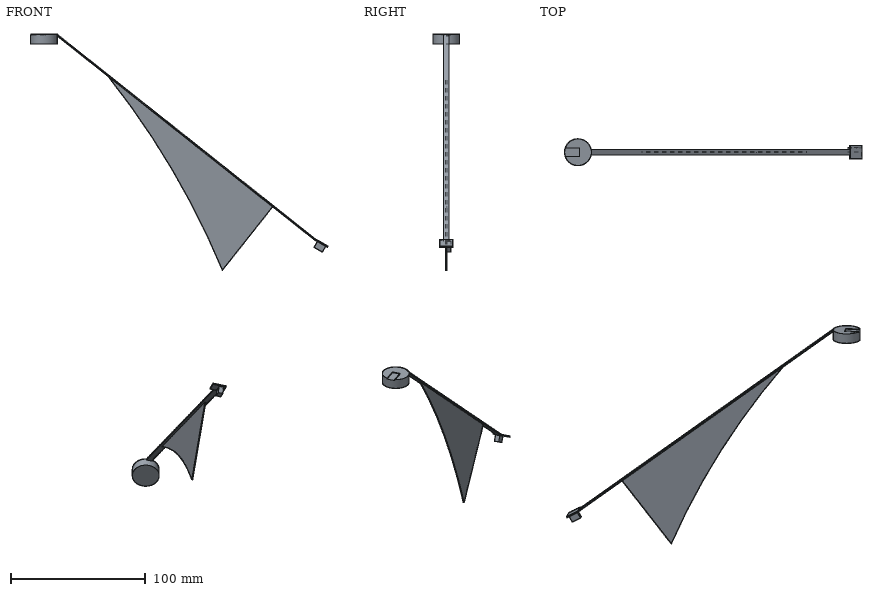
import cadquery as cq
import math

BASE_DIAMETER = 20.0
BASE_HEIGHT = 7.5
NOTCH_WIDTH = 6.0
NOTCH_LENGTH = 11.0
NOTCH_DEPTH = 0.6

ARM_SLOPE = 38.4
ARM_START_DEPTH = 0.3
ARM_LENGTH = 245.3
ARM_WIDTH = 4.2
ARM_THICKNESS = 1.0

SAIL_START = 46.5
SAIL_LENGTH = 158.0
SAIL_DROP = 61.05
SAIL_THICKNESS = 0.8
SAIL_SAGITTA = 5.7

PLATE_SLOPE = 30.0
PLATE_SIZE = 10.0
PLATE_THICKNESS = 1.0
PLATE_OVERLAP = 0.25
PLATE_RISE = 0.3
BLOCK_LENGTH = 7.2
BLOCK_WIDTH = 3.5
BLOCK_HEIGHT = 5.0
BLOCK_INSET = 1.2

BASE_RADIUS = BASE_DIAMETER / 2


def sloping_plane(origin_x, origin_z, slope):
    """Plane with local x running down the slope, local y along +Y and its normal pointing up."""
    angle = math.radians(slope)
    return cq.Plane(
        origin=(origin_x, 0, origin_z),
        xDir=(math.cos(angle), 0, -math.sin(angle)),
        normal=(math.sin(angle), 0, math.cos(angle)),
    )


def hanging_box(plane, start, length, y_min, width, top, height):
    """Box aligned to a sloping plane; its upper face is at local z = top and it reaches down by height."""
    return (
        cq.Workplane(plane)
        .box(length, width, height, centered=False)
        .translate(plane.toWorldCoords((start, y_min, top - height)) - plane.origin)
    )


def make_base():
    """Disc with a shallow open notch in its top face, on the side away from the arm."""
    disc = cq.Workplane("XY").circle(BASE_RADIUS).extrude(-BASE_HEIGHT)
    notch = (
        cq.Workplane("XY")
        .rect(2 * NOTCH_LENGTH, NOTCH_WIDTH)
        .extrude(-NOTCH_DEPTH)
        .translate((-BASE_RADIUS, 0, 0))
    )
    return disc.cut(notch)


def make_arm(plane):
    """Flat strip with its upper face on the sloping plane, starting just below the base rim."""
    return hanging_box(plane, 0, ARM_LENGTH, -ARM_WIDTH / 2, ARM_WIDTH, 0, ARM_THICKNESS)


def make_sail(plane):
    """Triangular sheet, square to the arm at its lower end, with a hollow curved long edge."""
    sail_end = SAIL_START + SAIL_LENGTH
    chord = math.hypot(SAIL_LENGTH, SAIL_DROP)
    curve_middle = (
        SAIL_START + SAIL_LENGTH / 2 + SAIL_SAGITTA * SAIL_DROP / chord,
        -SAIL_DROP / 2 + SAIL_SAGITTA * SAIL_LENGTH / chord,
    )
    side_plane = cq.Plane(origin=plane.origin, xDir=plane.xDir, normal=(0, -1, 0))
    return (
        cq.Workplane(side_plane)
        .moveTo(SAIL_START, -ARM_THICKNESS / 2)
        .lineTo(sail_end, -ARM_THICKNESS / 2)
        .lineTo(sail_end, -SAIL_DROP)
        .threePointArc(curve_middle, (SAIL_START, -ARM_THICKNESS / 2))
        .close()
        .extrude(SAIL_THICKNESS / 2, both=True)
    )


def make_end_plate(plane):
    """Square plate with its upper face on the given plane, and a block below its +Y half."""
    plate = hanging_box(
        plane, -PLATE_OVERLAP, PLATE_SIZE, -PLATE_SIZE / 2, PLATE_SIZE, 0, PLATE_THICKNESS
    )
    block_height = PLATE_THICKNESS / 2 + BLOCK_HEIGHT
    block = hanging_box(
        plane, BLOCK_INSET, BLOCK_LENGTH, 0, BLOCK_WIDTH, -PLATE_THICKNESS / 2, block_height
    )
    return plate.union(block)


arm_plane = sloping_plane(BASE_RADIUS, -ARM_START_DEPTH, ARM_SLOPE)
arm_end = arm_plane.toWorldCoords((ARM_LENGTH, 0, 0))
plate_plane = sloping_plane(arm_end.x, arm_end.z + PLATE_RISE, PLATE_SLOPE)

result = (
    make_base()
    .union(make_arm(arm_plane))
    .union(make_sail(arm_plane))
    .union(make_end_plate(plate_plane))
)